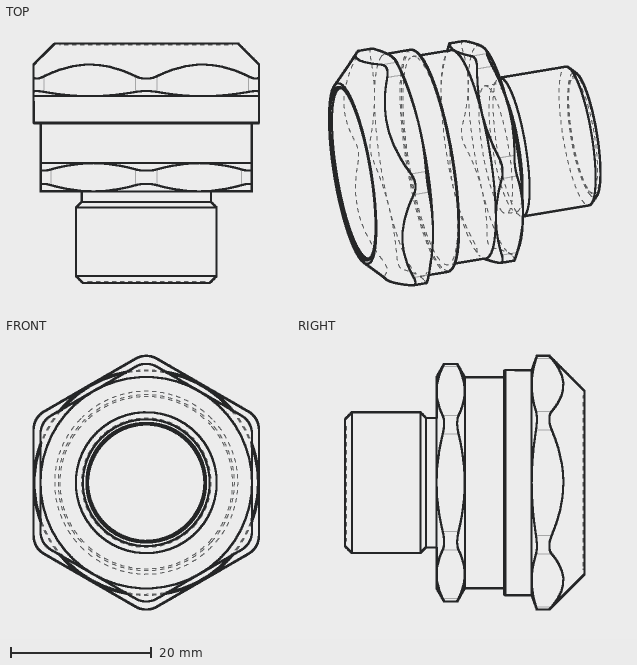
import cadquery as cq
import math


spigot_diameter = 20.0
spigot_length = 13.0
tip_chamfer = 1.0
neck_diameter = 18.4
neck_length = 1.5

front_hex_flats = 30.0
front_hex_end = 17.0
front_hex_angle = 30.0
body_diameter = 30.0

collar_diameter = 32.0
collar_start = 22.6
collar_chamfer = 0.15
rear_hex_flats = 32.0
rear_hex_start = 26.5
rear_hex_angle = 20.0
hex_corner_radius = 3.0

overall_length = 34.0
rear_face_diameter = 26.0
rear_cone_angle = 45.0

rim_width = 0.5
recess_depth = 0.25


def revolve_profile(points):
    """Turn (radius, Y) points about the Y axis."""
    return cq.Workplane("XY").polyline(points).close().revolve(360, (0, 0, 0), (0, 1, 0))


def end_recess(face_y, inward, face_diameter):
    """Cutter for the recess in an end face; inward is the sign of Y pointing into the part."""
    mouth_radius = face_diameter / 2 - rim_width
    floor_y = face_y + inward * recess_depth
    return revolve_profile([
        (0, face_y),
        (mouth_radius, face_y),
        (mouth_radius - recess_depth, floor_y),
        (0, floor_y),
    ])


def hexagon(flats, start, end):
    """Hexagonal prism with rounded corners and two flats facing +X and -X."""
    corner_diameter = flats / math.cos(math.radians(30))
    return (
        cq.Workplane("XZ", origin=(0, start, 0))
        .transformed(rotate=(0, 0, 30))
        .polygon(6, corner_diameter)
        .extrude(start - end)
        .edges("|Y")
        .fillet(hex_corner_radius)
    )


def chamfered_hexagon(flats, start, end, start_angle, end_angle, end_diameter):
    """Hexagon trimmed at both ends by cones; each angle is measured from the end face."""
    outer_radius = flats / math.sqrt(3)
    start_radius = flats / 2
    end_radius = end_diameter / 2
    start_drop = (outer_radius - start_radius) * math.tan(math.radians(start_angle))
    end_drop = (outer_radius - end_radius) * math.tan(math.radians(end_angle))
    envelope = revolve_profile([
        (0, start),
        (start_radius, start),
        (outer_radius, start + start_drop),
        (outer_radius, end - end_drop),
        (end_radius, end),
        (0, end),
    ])
    return hexagon(flats, start, end).intersect(envelope)


def spigot():
    radius = spigot_diameter / 2
    neck_radius = neck_diameter / 2
    neck_start = spigot_length - neck_length
    return revolve_profile([
        (0, 0),
        (radius - tip_chamfer, 0),
        (radius, tip_chamfer),
        (radius, neck_start - (radius - neck_radius)),
        (neck_radius, neck_start),
        (neck_radius, spigot_length),
        (0, spigot_length),
    ])


def body_and_collar():
    body_radius = body_diameter / 2
    collar_radius = collar_diameter / 2
    return revolve_profile([
        (0, front_hex_end),
        (body_radius, front_hex_end),
        (body_radius, collar_start),
        (collar_radius - collar_chamfer, collar_start),
        (collar_radius, collar_start + collar_chamfer),
        (collar_radius, rear_hex_start),
        (0, rear_hex_start),
    ])


front_hexagon = chamfered_hexagon(
    front_hex_flats, spigot_length, front_hex_end, front_hex_angle, front_hex_angle, front_hex_flats
)
rear_hexagon = chamfered_hexagon(
    rear_hex_flats, rear_hex_start, overall_length, rear_hex_angle, rear_cone_angle, rear_face_diameter
)
front_recess = end_recess(0, 1, spigot_diameter - 2 * tip_chamfer)
rear_recess = end_recess(overall_length, -1, rear_face_diameter)

result = (
    spigot()
    .union(front_hexagon)
    .union(body_and_collar())
    .union(rear_hexagon)
    .cut(front_recess)
    .cut(rear_recess)
)